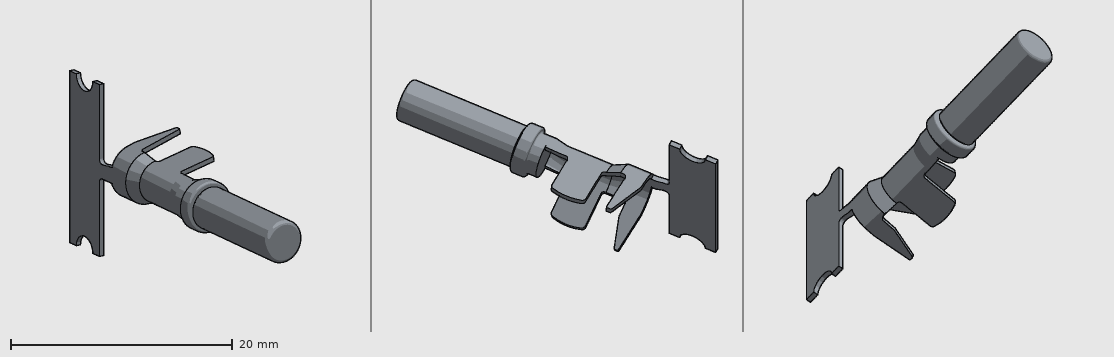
import cadquery as cq
import math


sheet = 0.48
strip_width = 4.65
strip_height = 16.5
strip_outer_y = -2.3
notch_x = strip_width / 2
notch_radius = 1.27

neck_half_width = 0.7
neck_fillet = 0.4
neck_bend_start = 5.27
neck_bend_end = 5.9
neck_root_half_width = 0.75

insulation_start = 6.4
insulation_end = 8.75
wire_start = 10.05
wire_end = 14.68
flare_end = 15.85
tube_start = 16.2
collar_start = 17.28
collar_end = 18.65
tip_end = 30.27

insulation_radius = 2.55
insulation_lean = 15.0
insulation_center_y = strip_outer_y + insulation_radius
insulation_edge = 0.2

wire_radius = 2.0
wire_lean = 11.0
wire_center_y = 0.3
wire_edge = 0.15

arm_top_y = 4.3
insulation_arm_corner = 0.12
insulation_arm_end = 8.15
plus_z_tip_start = 7.63
minus_z_tip_start = 6.9
minus_z_tip_end = 7.3
minus_z_bevel_y = 1.33
slant_start_y = 0.4
wire_arm_start = 10.4
wire_arm_end = 13.8
arm_root_fillet = 0.3
wire_arm_corner = 0.35
wire_arm_crown = 0.3

tube_radius = 1.97
seat_lean = 5.0
seat_edge = 0.2
barrel_radius = 2.0
tip_fillet = 0.35
collar_root_fillet = 0.18
collar_radius = 2.42
collar_fillet = 0.2
groove_radius = 1.88
groove_width = 0.12
groove_fillet = 0.1

margin = 0.03


def arm_point(radius, center_y, lean, depth, along):
    """(y, z) of a point on the +Z arm, depth below its outer face, along from its root."""
    angle = math.radians(lean)
    inset = radius - depth
    y = center_y - inset * math.sin(angle) + along * math.cos(angle)
    z = inset * math.cos(angle) + along * math.sin(angle)
    return y, z


def trough_wire(x, radius, center_y, lean, edge):
    """Closed U section at station x, with straight edges leaning outwards."""
    def point(depth, along, side):
        y, z = arm_point(radius, center_y, lean, depth, along)
        return y, side * z

    return (
        cq.Workplane("YZ", origin=(x, 0, 0))
        .moveTo(*point(0, edge, 1))
        .lineTo(*point(0, 0, 1))
        .threePointArc((center_y - radius, 0), point(0, 0, -1))
        .lineTo(*point(0, edge, -1))
        .lineTo(*point(sheet, edge, -1))
        .lineTo(*point(sheet, 0, -1))
        .threePointArc((center_y - radius + sheet, 0), point(sheet, 0, 1))
        .lineTo(*point(sheet, edge, 1))
        .close()
        .wire()
        .val()
    )


def trough(start, start_section, end, end_section):
    """Trough running from one U section to another."""
    wires = [trough_wire(start, *start_section), trough_wire(end, *end_section)]
    return cq.Workplane(cq.Solid.makeLoft(wires, True))


def arm_plane(section, side):
    """Plane on the outer face of an arm: local x is X, local y climbs the arm from its root."""
    radius, center_y, lean, _ = section
    root_y, root_z = arm_point(radius, center_y, lean, 0, 0)
    angle = math.radians(lean)
    normal = (0, -math.sin(angle), side * math.cos(angle))
    return cq.Plane(origin=(0, root_y, side * root_z), xDir=(1, 0, 0), normal=normal)


def climb(section, y, depth=0):
    """Distance along the arm at which the given depth reaches height y."""
    radius, center_y, lean, _ = section
    root_y, _ = arm_point(radius, center_y, lean, depth, 0)
    return (y - root_y) / math.cos(math.radians(lean))


insulation = (insulation_radius, insulation_center_y, insulation_lean, insulation_edge)
wire = (wire_radius, wire_center_y, wire_lean, wire_edge)
tube_seat = (tube_radius, 0, seat_lean, seat_edge)


def carrier_strip():
    """Flat strip with a half-round notch at each end and a filleted flat neck."""
    face = cq.Workplane("XZ", origin=(0, strip_outer_y, 0))
    strip = face.center(strip_width / 2, 0).rect(strip_width, strip_height).extrude(-sheet)
    neck_length = neck_bend_start - strip_width
    neck = face.center(strip_width + neck_length / 2, 0).rect(neck_length, 2 * neck_half_width)
    body = strip.union(neck.extrude(-sheet))
    for side in (1, -1):
        corner = cq.selectors.NearestToPointSelector(
            (strip_width, strip_outer_y + sheet / 2, side * neck_half_width)
        )
        body = body.edges("|Y").edges(corner).fillet(neck_fillet)
    ends = [(notch_x, strip_height / 2), (notch_x, -strip_height / 2)]
    return body.cut(face.pushPoints(ends).circle(notch_radius).extrude(-sheet))


def neck_wire(x, half_width, bent):
    """Neck section at station x, flat or bent to the curve of the insulation crimp."""
    outer_y = strip_outer_y
    inner_y = outer_y + sheet
    inner_radius = insulation_radius - sheet
    outer_rise = insulation_radius - math.sqrt(insulation_radius**2 - half_width**2)
    inner_rise = inner_radius - math.sqrt(inner_radius**2 - half_width**2)
    section = cq.Workplane("YZ", origin=(x, 0, 0))
    if not bent:
        return section.center(outer_y + sheet / 2, 0).rect(sheet, 2 * half_width).wire().val()
    return (
        section
        .moveTo(inner_y + inner_rise, -half_width)
        .lineTo(outer_y + outer_rise, -half_width)
        .threePointArc((outer_y, 0), (outer_y + outer_rise, half_width))
        .lineTo(inner_y + inner_rise, half_width)
        .threePointArc((inner_y, 0), (inner_y + inner_rise, -half_width))
        .close()
        .wire()
        .val()
    )


def neck_bend():
    """Flat neck turning into the curve of the insulation crimp, then running into it."""
    flat = neck_wire(neck_bend_start, neck_half_width, False)
    bent = neck_wire(neck_bend_end, neck_root_half_width, True)
    root = neck_wire(insulation_start, neck_root_half_width, True)
    turn = cq.Workplane(cq.Solid.makeLoft([flat, bent], True))
    return turn.union(cq.Workplane(cq.Solid.makeLoft([bent, root], True)))


def arm_blank(section, side, outline):
    """Flat arm from a list of (x, distance up the arm) points."""
    points = [(x, side * along) for x, along in outline]
    return cq.Workplane(arm_plane(section, side)).polyline(points).close().extrude(-sheet)


def rounded(arm, section, side, corners, radius):
    """Round the edges through the sheet at the given (x, distance up the arm) corners."""
    plane = arm_plane(section, side)
    for x, along in corners:
        middle = plane.toWorldCoords((x, side * along, -sheet / 2))
        edge = cq.selectors.NearestToPointSelector(middle.toTuple())
        arm = arm.edges(cq.selectors.ParallelDirSelector(plane.zDir)).edges(edge).fillet(radius)
    return arm


def insulation_arm(side):
    """Pointed insulation arm; the -Z arm also has a bevelled rear flank."""
    top = climb(insulation, arm_top_y, sheet)
    slant = climb(insulation, slant_start_y)
    bevel = climb(insulation, minus_z_bevel_y)
    root = (insulation_arm_end, insulation_edge)
    if side > 0:
        tip = [(plus_z_tip_start, top), (insulation_arm_end, top)]
        flank = []
    else:
        tip = [(minus_z_tip_start, top), (minus_z_tip_end, top)]
        flank = [(insulation_arm_end, bevel)]
    foot = [(insulation_end, 0), (insulation_start, 0), (insulation_start, slant)]
    arm = arm_blank(insulation, side, foot + tip + flank + [root, (insulation_end, insulation_edge)])
    arm = rounded(arm, insulation, side, [root], arm_root_fillet)
    return rounded(arm, insulation, side, tip, insulation_arm_corner)


def wire_arm(side):
    """Wide wire arm with a crowned top, rounded shoulders and filleted roots."""
    top = climb(wire, arm_top_y, sheet)
    shoulder = top - wire_arm_crown
    middle_x = (wire_arm_start + wire_arm_end) / 2
    roots = [(wire_arm_start, wire_edge), (wire_arm_end, wire_edge)]
    shoulders = [(wire_arm_start, shoulder), (wire_arm_end, shoulder)]
    arm = (
        cq.Workplane(arm_plane(wire, side))
        .moveTo(wire_start, 0)
        .lineTo(wire_start, side * wire_edge)
        .lineTo(wire_arm_start, side * wire_edge)
        .lineTo(wire_arm_start, side * shoulder)
        .threePointArc((middle_x, side * top), (wire_arm_end, side * shoulder))
        .lineTo(wire_arm_end, side * wire_edge)
        .lineTo(wire_end, side * wire_edge)
        .lineTo(wire_end, 0)
        .close()
        .extrude(-sheet)
    )
    arm = rounded(arm, wire, side, roots, arm_root_fillet)
    return rounded(arm, wire, side, shoulders, wire_arm_corner)


def circle_at(x, radius):
    """Selector of the circular edge of the socket at station x with this radius."""
    reach = radius + margin
    outer = cq.selectors.BoxSelector((x - margin, -reach, -reach), (x + margin, reach, reach), True)
    hole = radius - margin
    inner = cq.selectors.BoxSelector((x - margin, -hole, -hole), (x + margin, hole, hole), True)
    return outer - inner


def socket():
    """Closed round socket with a collar and a narrow groove behind it."""
    profile = [
        (tube_start, 0),
        (tube_start, tube_radius),
        (collar_start, tube_radius),
        (collar_start, collar_radius),
        (collar_end, collar_radius),
        (collar_end, groove_radius),
        (collar_end + groove_width, groove_radius),
        (collar_end + groove_width, barrel_radius),
        (tip_end, barrel_radius),
        (tip_end, 0),
    ]
    body = cq.Workplane("XY").polyline(profile).close().revolve(360, (0, 0, 0), (1, 0, 0))
    body = body.edges(circle_at(collar_start, collar_radius)).fillet(collar_fillet)
    body = body.edges(circle_at(collar_end, collar_radius)).fillet(collar_fillet)
    body = body.edges(circle_at(collar_start, tube_radius)).fillet(collar_root_fillet)
    body = body.edges(circle_at(collar_end, groove_radius)).fillet(groove_fillet)
    return body.edges(circle_at(tip_end, barrel_radius)).fillet(tip_fillet)


result = (
    carrier_strip()
    .union(trough(insulation_start, insulation, insulation_end, insulation))
    .union(trough(insulation_end, insulation, wire_start, wire))
    .union(trough(wire_start, wire, wire_end, wire))
    .union(trough(wire_end, wire, flare_end, tube_seat))
    .union(trough(flare_end, tube_seat, tube_start, tube_seat))
    .union(neck_bend())
    .union(insulation_arm(1))
    .union(insulation_arm(-1))
    .union(wire_arm(1))
    .union(wire_arm(-1))
    .union(socket())
)